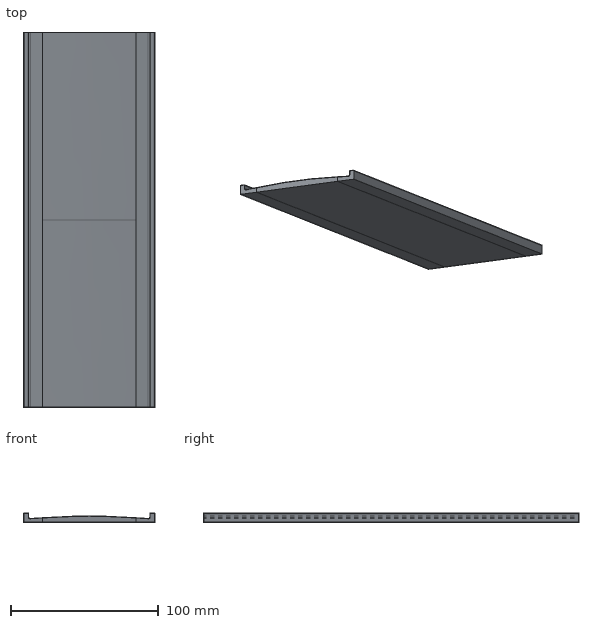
import cadquery as cq

length = 254.0
overall_width = 88.87
overall_height = 6.31

panel_width = 63.5
panel_edge_height = 3.175
crown_rise = 1.19

floor_slope = 0.065
lip_thickness = 3.36
lip_top_slope = 0.0202
lip_outer_radius = 0.5
lip_inner_radius = 0.5
lip_root_radius = 1.05

half_width = overall_width / 2
half_panel = panel_width / 2
crown_height = panel_edge_height + crown_rise
lip_inner_x = half_width - lip_thickness
lip_root_height = panel_edge_height - floor_slope * (lip_inner_x - half_panel)

lip_inner_height = overall_height + lip_top_slope * lip_inner_radius
lip_outer_height = lip_inner_height - lip_top_slope * lip_thickness


def extrude_section(section):
    """Close a cross-section and extrude it evenly to both sides of the XZ plane."""
    return section.close().extrude(length / 2, both=True)


def fillet_edge(body, x, z, radius):
    """Round the lengthwise edge that passes through (x, z)."""
    return body.edges(cq.selectors.NearestToPointSelector((x, 0, z))).fillet(radius)


def make_panel():
    """Centre panel with a smooth crown from edge to edge."""
    section = (
        cq.Workplane("XZ")
        .moveTo(-half_panel, 0)
        .lineTo(half_panel, 0)
        .lineTo(half_panel, panel_edge_height)
        .spline([(0, crown_height), (-half_panel, panel_edge_height)], includeCurrent=True)
    )
    return extrude_section(section)


def make_rail():
    """Side rail on the +X side of the panel."""
    section = (
        cq.Workplane("XZ")
        .moveTo(half_panel, 0)
        .lineTo(half_width, 0)
        .lineTo(half_width, lip_outer_height)
        .lineTo(lip_inner_x, lip_inner_height)
        .lineTo(lip_inner_x, lip_root_height)
        .lineTo(half_panel, panel_edge_height)
    )
    rail = extrude_section(section)
    rail = fillet_edge(rail, half_width, lip_outer_height, lip_outer_radius)
    rail = fillet_edge(rail, lip_inner_x, lip_inner_height, lip_inner_radius)
    return fillet_edge(rail, lip_inner_x, lip_root_height, lip_root_radius)


panel = make_panel()
right_rail = make_rail()
left_rail = right_rail.mirror("YZ")

result = cq.Compound.makeCompound([panel.val(), right_rail.val(), left_rail.val()])